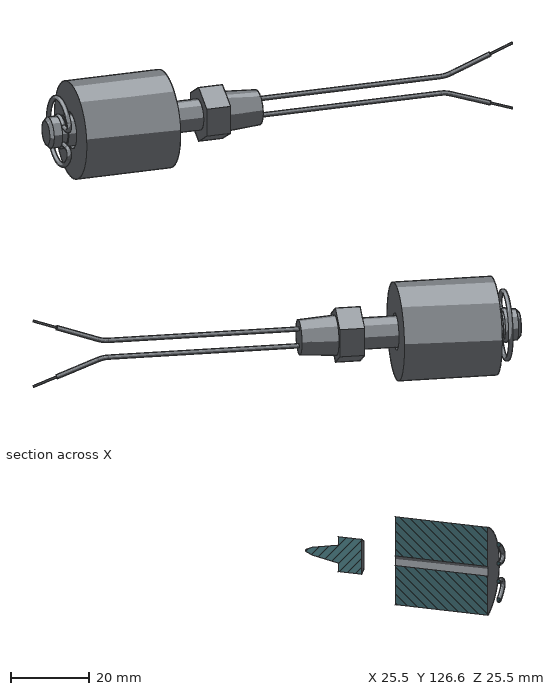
import cadquery as cq
import math

stem_tip_y = -63.3
groove_front_y = -60.1
groove_back_y = -58.5
float_front_y = -56.6
hex_front_y = -21.9
hex_back_y = -15.5
plug_end_y = -6.0
bend_start_y = 43.7
lead_tip_y = 63.3

stem_radius = 4.0
tip_chamfer = 0.9
hex_across_flats = 12.8
hex_across_corners = hex_across_flats / math.cos(math.radians(30))
plug_base_radius = 5.2
plug_end_radius = 4.5

float_diameter = 25.5
float_length = 25.5
float_bore_diameter = 9.5

clip_wire_diameter = 1.1
clip_ring_radius = 8.7
clip_bend_radius = 1.5
clip_arm_z = 2.4
clip_y = groove_front_y + clip_wire_diameter / 2
clip_loop_radius = 3.9
groove_radius = clip_loop_radius - clip_wire_diameter / 2

lead_offset_z = 2.3
insulation_diameter = 1.1
conductor_diameter = 0.5
bend_radius = 7.6
bend_angle = 20.0
stripped_length = 6.5
lead_twist = 3.5


def rod_along_y(radius, start_y, end_y):
    """Solid cylinder on the Y axis."""
    plane = cq.Workplane("XZ", origin=(0, start_y, 0))
    return plane.circle(radius).extrude(start_y - end_y)


def make_stem():
    """Grooved stem with its hexagon and tapered plug."""
    profile = [
        (0, stem_tip_y),
        (stem_radius - tip_chamfer, stem_tip_y),
        (stem_radius, stem_tip_y + tip_chamfer),
        (stem_radius, groove_front_y),
        (groove_radius, groove_front_y),
        (groove_radius, groove_back_y),
        (stem_radius, groove_back_y),
        (stem_radius, hex_back_y),
        (plug_base_radius, hex_back_y),
        (plug_end_radius, plug_end_y),
        (0, plug_end_y),
    ]
    turned = cq.Workplane("XY").polyline(profile).close().revolve(360, (0, 0, 0), (0, 1, 0))
    hexagon = (
        cq.Workplane("XZ", origin=(0, hex_front_y, 0))
        .transformed(rotate=(0, 0, 90))
        .polygon(6, hex_across_corners)
        .extrude(hex_front_y - hex_back_y)
    )
    return turned.union(hexagon)


def make_float():
    """Cylinder that slides on the stem with a clearance all round."""
    back_y = float_front_y + float_length
    bore = rod_along_y(float_bore_diameter / 2, float_front_y, back_y)
    return rod_along_y(float_diameter / 2, float_front_y, back_y).cut(bore)


def make_clip():
    """Open wire ring whose ends turn inwards to a loop around the groove."""
    bend_z = clip_arm_z + clip_bend_radius
    bend_reach = clip_ring_radius - clip_bend_radius
    bend_x = math.sqrt(bend_reach**2 - bend_z**2)
    ring_end_x = bend_x * clip_ring_radius / bend_reach
    ring_end_z = bend_z * clip_ring_radius / bend_reach
    mid_angle = (math.atan2(bend_z, bend_x) - math.pi / 2) / 2
    bend_mid_x = bend_x + clip_bend_radius * math.cos(mid_angle)
    bend_mid_z = bend_z + clip_bend_radius * math.sin(mid_angle)

    arm_x = math.sqrt(clip_loop_radius**2 - clip_arm_z**2)

    clip_plane = cq.Plane.XZ(origin=(0, clip_y, 0))
    outer_path = (
        cq.Workplane(clip_plane)
        .moveTo(arm_x, clip_arm_z)
        .lineTo(bend_x, clip_arm_z)
        .threePointArc((bend_mid_x, bend_mid_z), (ring_end_x, ring_end_z))
        .threePointArc((-clip_ring_radius, 0), (ring_end_x, -ring_end_z))
        .threePointArc((bend_mid_x, -bend_mid_z), (bend_x, -clip_arm_z))
        .lineTo(arm_x, -clip_arm_z)
    )
    loop_path = (
        cq.Workplane(clip_plane)
        .moveTo(arm_x, clip_arm_z)
        .threePointArc((-clip_loop_radius, 0), (arm_x, -clip_arm_z))
    )
    wire_radius = clip_wire_diameter / 2
    arm_start = (arm_x, clip_y, clip_arm_z)
    outer_ring = cq.Workplane("YZ", origin=arm_start).circle(wire_radius).sweep(outer_path)
    loop_plane = cq.Plane(origin=arm_start, xDir=(0, 1, 0), normal=(-clip_arm_z, 0, arm_x))
    loop = cq.Workplane(loop_plane).circle(wire_radius).sweep(loop_path)
    clip = outer_ring.union(loop)
    for side in (1, -1):
        elbow = cq.Workplane("XY", origin=(arm_x, clip_y, side * clip_arm_z)).sphere(wire_radius)
        clip = clip.union(elbow)
    return clip.cut(rod_along_y(groove_radius, groove_front_y, groove_back_y))


def make_lead(side):
    """Insulated wire with a bare end, bent away from the axis; side is +1 or -1 along Z."""
    angle = math.radians(bend_angle)

    def bend_point(turn):
        y = bend_start_y + bend_radius * math.sin(turn)
        z = lead_offset_z + bend_radius * (1 - math.cos(turn))
        return (y, side * z)

    bend_end = bend_point(angle)
    tip_center_y = lead_tip_y - conductor_diameter / 2 * math.sin(angle)
    slanted_length = (tip_center_y - bend_end[0]) / math.cos(angle)

    def along_slant(distance):
        y = bend_end[0] + distance * math.cos(angle)
        z = bend_end[1] + side * distance * math.sin(angle)
        return (y, z)

    insulation_end = along_slant(slanted_length - stripped_length)
    path = (
        cq.Workplane("YZ")
        .moveTo(plug_end_y, side * lead_offset_z)
        .lineTo(bend_start_y, side * lead_offset_z)
        .threePointArc(bend_point(angle / 2), bend_end)
        .lineTo(*insulation_end)
    )
    section = cq.Workplane("XZ", origin=(0, plug_end_y, side * lead_offset_z))
    insulation = section.circle(insulation_diameter / 2).sweep(path)

    slant_plane = cq.Plane(
        origin=(0, *insulation_end),
        xDir=(1, 0, 0),
        normal=(0, math.cos(angle), side * math.sin(angle)),
    )
    conductor = cq.Workplane(slant_plane).circle(conductor_diameter / 2).extrude(stripped_length)
    lead = insulation.union(conductor)
    axis_start = (0, plug_end_y, side * lead_offset_z)
    axis_end = (0, bend_start_y, side * lead_offset_z)
    return lead.rotate(axis_start, axis_end, -side * lead_twist)


stem = make_stem()
float_body = make_float()
clip = make_clip()
leads = [make_lead(side) for side in (1, -1)]

result = cq.Compound.makeCompound(
    [stem.val(), float_body.val(), clip.val(), *[lead.val() for lead in leads]]
)